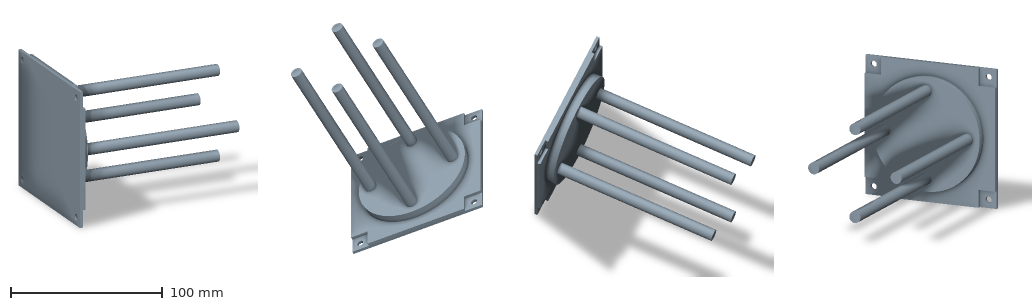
import cadquery as cq

plate_side = 95.0
total_depth = 122.7

plate_thickness = 4.2
corner_thickness = 2.1
corner_side = 12.1
hole_diameter = 4.4
hole_edge_distance = 5.8

boss_diameter = 77.8
boss_height = 5.8
rod_diameter = 8.0
rod_circle_radius = 30.0

front_y = -total_depth / 2
plate_back_y = front_y + plate_thickness
boss_back_y = plate_back_y + boss_height
rod_length = total_depth - plate_thickness - boss_height


def plane_at(y):
    """XZ sketch plane at y whose extrusions run toward +Y; local y is -Z."""
    return cq.Workplane(cq.Plane(origin=(0, y, 0), xDir=(1, 0, 0), normal=(0, 1, 0)))


def corner_points(distance):
    """Four points on the diagonals, each at the given distance from both axes."""
    return [(sx * distance, sz * distance) for sx in (-1, 1) for sz in (-1, 1)]


def make_plate():
    plate = plane_at(front_y).rect(plate_side, plate_side).extrude(plate_thickness)
    corner_recesses = (
        plane_at(front_y + corner_thickness)
        .pushPoints(corner_points((plate_side - corner_side) / 2))
        .rect(corner_side, corner_side)
        .extrude(plate_thickness - corner_thickness)
    )
    mounting_holes = (
        plane_at(front_y)
        .pushPoints(corner_points(plate_side / 2 - hole_edge_distance))
        .circle(hole_diameter / 2)
        .extrude(plate_thickness)
    )
    return plate.cut(corner_recesses).cut(mounting_holes)


def make_boss():
    return plane_at(plate_back_y).circle(boss_diameter / 2).extrude(boss_height)


def make_rods():
    return (
        plane_at(boss_back_y)
        .polarArray(rod_circle_radius, 0, 360, 4)
        .circle(rod_diameter / 2)
        .extrude(rod_length)
    )


result = make_plate().union(make_boss()).union(make_rods())